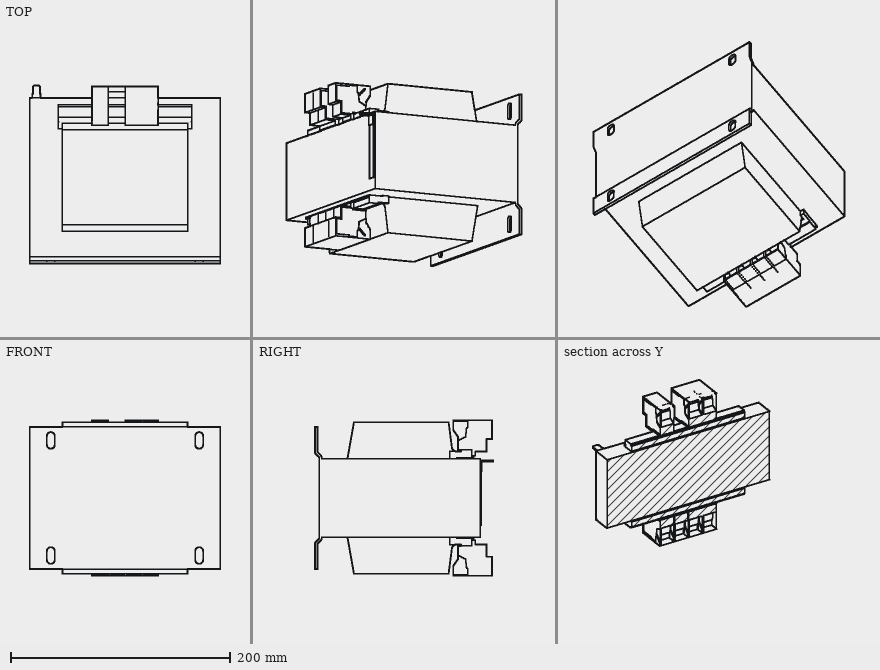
import cadquery as cq


core_width = 174.1
core_height = 71.8
core_front = 6.4
core_back = 151.2
core_top = core_height / 2

sheet = 2.5
bracket_height = 130.0
plate_outer_y = core_front - sheet
foot_bend_z = 40.9
bend_inner_radius = 0.5
bend_outer_radius = bend_inner_radius + sheet
bend_miter = sheet * (2 ** 0.5 - 1)
slot_length = 15.0
slot_width = 7.0
slot_spacing_x = 135.4
slot_spacing_z = 105.0

coil_width = 114.5
coil_top = 69.3
coil_top_front = 35.4
coil_top_back = 122.2
coil_lip = 1.4
coil_base_front = 29.7
flare_start_y = 125.2
flare_start_z = 46.2
flare_end_y = 128.3
flare_end_z = 42.6
flare_bow = 0.36

rail_width = 121.5
rail_front = 123.3
rail_step_y = 133.5
rail_back = 143.1
rail_top = 43.8
rail_front_top = 42.5
rail_foot_back = 129.6
rail_clearance = 0.7
lip_back = 144.9
lip_bottom = 37.1
lip_top = 38.5

block_pitch = 15.15
block_count = 4
upper_slots = (0, 2, 3)
lower_slots = (0, 1, 2, 3)
block_top = 71.1
block_front = 126.2
block_back = 161.9
block_waist_front = 130.6
block_waist_back = 156.8
block_nose_z = 62.2
block_throat_z = 55.7
block_step_z = 53.6
block_base_z = 42.4
block_hook_back = 146.5
block_hook_bottom = lip_top
left_wall = 1.5
right_wall = 0.5
lid = 1.0
mouth_back = 139.8
mouth_middle = 138.5
mouth_low = 137.6
mouth_knee_z = 63.8
mouth_lower_z = 55.8
mouth_floor_z = 52.3
recess_depth = 0.3
frame_back = 0.9
frame_top = 2.0
frame_bottom = 1.4
recess_rise_y = 147.8
recess_hook_y = 144.4
slit_width = 1.0
slit_length = 9.0
slit_center_y = 134.7
slit_center_z = 65.1

tab_x = -80.8
tab_base_width = 7.8
tab_width = 6.6
tab_tip_chamfer = 1.2
tab_shoulder_y = 155.0
tab_tip_y = 162.8
tab_top = 34.4
tab_sheet = 1.3
tab_leg_bottom = 24.4
strip_thickness = 0.6
strip_height = 50.0


def prism(points, x_start, x_end):
    """Extrude a closed (y, z) outline between two X positions."""
    outline = cq.Workplane("YZ", origin=(x_start, 0, 0)).polyline(points).close()
    return outline.extrude(x_end - x_start)


def box(x_range, y_range, z_range):
    """Box between the given limits on each axis."""
    size = [limits[1] - limits[0] for limits in (x_range, y_range, z_range)]
    corner = (x_range[0], y_range[0], z_range[0])
    return cq.Workplane("XY").box(*size, centered=False).translate(corner)


def make_core():
    return box((-core_width / 2, core_width / 2), (core_front, core_back), (-core_top, core_top))


def make_bracket():
    """Plate against the core with an offset foot along its top and bottom."""
    foot_top = bracket_height / 2
    foot_inner_z = foot_bend_z + bend_miter
    plate_outer_z = foot_bend_z - plate_outer_y
    plate_inner_z = foot_inner_z - plate_outer_y
    upper = [
        (core_front, plate_inner_z),
        (sheet, foot_inner_z),
        (sheet, foot_top),
        (0, foot_top),
        (0, foot_bend_z),
        (plate_outer_y, plate_outer_z),
    ]
    lower = [(y, -z) for y, z in reversed(upper)]
    bracket = prism(upper + lower, -core_width / 2, core_width / 2)

    def bend(part, y, z, radius):
        for side in (1, -1):
            nearest = cq.selectors.NearestToPointSelector((0, y, side * z))
            part = part.edges("|X").edges(nearest).fillet(radius)
        return part

    bracket = bend(bracket, 0, foot_bend_z, bend_outer_radius)
    bracket = bend(bracket, sheet, foot_inner_z, bend_inner_radius)
    bracket = bend(bracket, plate_outer_y, plate_outer_z, bend_inner_radius)
    bracket = bend(bracket, core_front, plate_inner_z, bend_outer_radius)
    slots = (
        cq.Workplane("XZ")
        .rarray(slot_spacing_x, slot_spacing_z, 2, 2)
        .slot2D(slot_length, slot_width, 90)
        .extrude(-sheet)
    )
    return bracket.cut(slots)


def make_coil():
    """Upper coil end: tapered front and back, with a concave flare at the back foot."""
    flare_middle = (
        flare_start_y + flare_bow * (flare_end_y - flare_start_y),
        flare_end_z + flare_bow * (flare_start_z - flare_end_z),
    )
    return (
        cq.Workplane("YZ", origin=(-coil_width / 2, 0, 0))
        .moveTo(coil_base_front, core_top)
        .lineTo(coil_top_front, coil_top - coil_lip)
        .lineTo(coil_top_front, coil_top)
        .lineTo(coil_top_back, coil_top)
        .lineTo(flare_start_y, flare_start_z)
        .threePointArc(flare_middle, (flare_end_y, flare_end_z))
        .lineTo(flare_end_y, core_top)
        .close()
        .extrude(coil_width)
    )


def make_rail():
    """Stepped rail carrying the blocks, with a low lip along its back."""
    half = rail_width / 2
    raised_z = core_top + rail_clearance
    rail = prism([
        (rail_front, core_top),
        (rail_foot_back, core_top),
        (rail_foot_back, raised_z),
        (rail_back, raised_z),
        (rail_back, rail_top),
        (rail_step_y, rail_top),
        (rail_step_y, rail_front_top),
        (rail_front, rail_front_top),
    ], -half, half)
    lip = box((-half, half), (rail_back, lip_back), (lip_bottom, lip_top))
    return rail.union(lip)


def make_block(slot):
    """One terminal block: a stepped housing with a wire mouth at its front and a hook behind the rail."""
    left = (slot - block_count / 2) * block_pitch
    right = left + block_pitch
    housing = prism([
        (block_front, block_top),
        (block_back, block_top),
        (block_back, block_step_z),
        (block_waist_back, block_step_z),
        (block_waist_back, block_base_z),
        (block_hook_back, block_base_z),
        (block_hook_back, block_hook_bottom),
        (rail_back, block_hook_bottom),
        (rail_back, rail_top),
        (block_waist_front, rail_top),
        (block_waist_front, block_throat_z),
        (block_front, block_nose_z),
    ], left, right)
    mouth_wall = [
        (mouth_back, block_top - lid),
        (mouth_back, mouth_knee_z + lid),
        (mouth_middle, mouth_knee_z),
        (mouth_low, mouth_lower_z),
        (block_waist_front, mouth_floor_z),
    ]
    mouth_front = [(block_front, mouth_floor_z), (block_front, block_top - lid)]
    mouth = prism(mouth_wall + mouth_front, left + left_wall, right - right_wall)
    recess = prism(mouth_wall + [
        (block_waist_front, rail_top + frame_bottom),
        (recess_hook_y, rail_top + frame_bottom),
        (recess_hook_y, block_base_z + frame_bottom),
        (block_waist_back - frame_back, block_base_z + frame_bottom),
        (block_waist_back - frame_back, block_step_z + frame_bottom),
        (block_back - frame_back, block_step_z + frame_bottom),
        (block_back - frame_back, block_top - frame_top),
        (recess_rise_y, block_top - frame_top),
        (recess_rise_y, block_top - lid),
    ], left, left + recess_depth)
    slit = (
        cq.Workplane("YZ", origin=(left, slit_center_y, slit_center_z))
        .slot2D(slit_length, slit_width, -45)
        .extrude(recess_depth)
    )
    return housing.cut(mouth).cut(recess).cut(slit)


def make_earth_tab():
    """L-shaped push-on tab with a thin strip below it."""
    base_half = tab_base_width / 2
    half = tab_width / 2
    tip_half = half - tab_tip_chamfer
    right_side = [
        (base_half, core_back),
        (base_half, tab_shoulder_y),
        (half, tab_shoulder_y),
        (half, tab_tip_y - tab_tip_chamfer),
        (tip_half, tab_tip_y),
    ]
    left_side = [(-x, y) for x, y in reversed(right_side)]
    blade = (
        cq.Workplane("XY", origin=(tab_x, 0, tab_top - tab_sheet))
        .polyline(right_side + left_side)
        .close()
        .extrude(tab_sheet)
    )
    x_range = (tab_x - base_half, tab_x + base_half)
    leg = box(x_range, (core_back, core_back + tab_sheet), (tab_leg_bottom, tab_top))
    strip_z = (-strip_height / 2, strip_height / 2)
    strip = box(x_range, (core_back, core_back + strip_thickness), strip_z)
    return blade.union(leg).union(strip)


def make_winding_end(slots):
    """Coil end, rail and terminal blocks above the core."""
    end = make_coil().union(make_rail())
    for slot in slots:
        end = end.union(make_block(slot))
    return end


upper_end = make_winding_end(upper_slots)
lower_end = make_winding_end(lower_slots).mirror("XY")
result = make_core().union(make_bracket()).union(upper_end).union(lower_end).union(make_earth_tab())